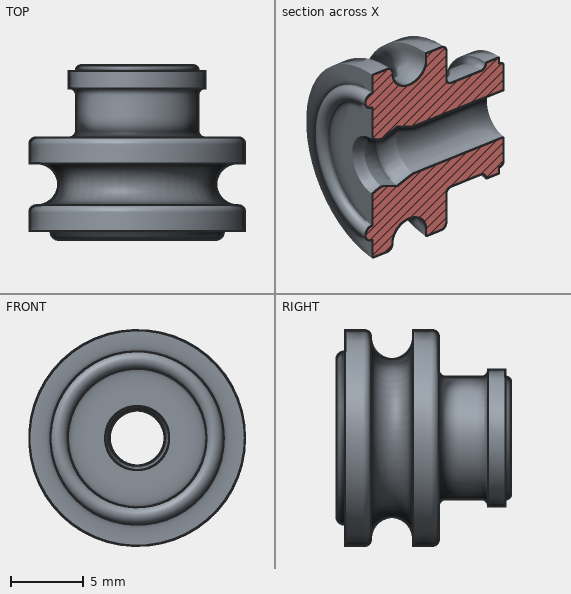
import cadquery as cq
import math

wheel_radius = 14.95 / 2
flange_width = 1.8
flange_fillet = 0.5
groove_radius = 1.45
groove_depth = 2.0

bead_radius = 0.6
bead_outer_radius = 6.0

neck_radius = 4.25
neck_length = 3.4
neck_fillet = 0.4
collar_radius = 4.75
collar_width = 1.2
tip_length = 0.4

entry_radius = 2.22
throat_radius = 1.9
throat_depth = 0.82
inner_groove_radius = 2.4
inner_groove_depth = 2.2

groove_start = flange_width
groove_end = groove_start + 2 * groove_radius
wheel_end = groove_end + flange_width
collar_start = wheel_end + neck_length
collar_end = collar_start + collar_width
part_end = collar_end + tip_length
fillet_end_radius = wheel_radius - flange_fillet
groove_bottom_radius = wheel_radius - groove_depth
groove_rim_radius = groove_bottom_radius + groove_radius
inner_groove_end = 2 * inner_groove_depth - throat_depth
ARC_MIDDLE = math.sqrt(0.5)


def add_quarter_arc(profile, center, radius, radial_side, axial_side, end):
    """Add a quarter arc to `end`, bulging from `center` toward the given sides."""
    middle = (
        center[0] + radial_side * radius * ARC_MIDDLE,
        center[1] + axial_side * radius * ARC_MIDDLE,
    )
    return profile.threePointArc(middle, end)


def revolve_about_y(profile):
    return profile.close().revolve(360, (0, 0), (0, 1))


def make_body():
    """Wheel, neck, collar and tip as one revolved outline of (radius, y) points."""
    profile = cq.Workplane("XY").lineTo(wheel_radius, 0)

    fillet_y = groove_start - flange_fillet
    profile = profile.lineTo(wheel_radius, fillet_y)
    profile = add_quarter_arc(
        profile, (fillet_end_radius, fillet_y), flange_fillet, 1, 1, (fillet_end_radius, groove_start)
    )

    groove_bottom = (groove_bottom_radius, groove_start + groove_radius)
    profile = profile.lineTo(groove_rim_radius, groove_start)
    profile = profile.threePointArc(groove_bottom, (groove_rim_radius, groove_end))

    fillet_y = wheel_end - flange_fillet
    profile = profile.lineTo(wheel_radius, groove_end).lineTo(wheel_radius, fillet_y)
    profile = add_quarter_arc(
        profile, (fillet_end_radius, fillet_y), flange_fillet, 1, 1, (fillet_end_radius, wheel_end)
    )

    fillet_radius = neck_radius + neck_fillet
    fillet_y = wheel_end + neck_fillet
    profile = profile.lineTo(fillet_radius, wheel_end)
    profile = add_quarter_arc(
        profile, (fillet_radius, fillet_y), neck_fillet, -1, -1, (neck_radius, fillet_y)
    )
    fillet_y = collar_start - neck_fillet
    profile = profile.lineTo(neck_radius, fillet_y)
    profile = add_quarter_arc(
        profile, (fillet_radius, fillet_y), neck_fillet, -1, 1, (fillet_radius, collar_start)
    )

    tip_face_radius = neck_radius - tip_length
    profile = profile.lineTo(collar_radius, collar_start).lineTo(collar_radius, collar_end)
    profile = profile.lineTo(neck_radius, collar_end)
    profile = add_quarter_arc(
        profile, (tip_face_radius, collar_end), tip_length, 1, 1, (tip_face_radius, part_end)
    )
    return revolve_about_y(profile.lineTo(0, part_end))


def make_bead():
    """Ring whose lower half is sunk in the front face, leaving a half-round bead."""
    center_radius = bead_outer_radius - bead_radius
    section = cq.Workplane("XY").center(center_radius, 0).circle(bead_radius)
    return section.revolve(360, (-center_radius, 0), (-center_radius, 1))


def make_bore():
    profile = (
        cq.Workplane("XY")
        .lineTo(entry_radius, 0)
        .lineTo(throat_radius, throat_depth)
        .lineTo(inner_groove_radius, inner_groove_depth)
        .lineTo(throat_radius, inner_groove_end)
        .lineTo(throat_radius, part_end)
        .lineTo(0, part_end)
    )
    return revolve_about_y(profile)


result = make_body().union(make_bead()).cut(make_bore())